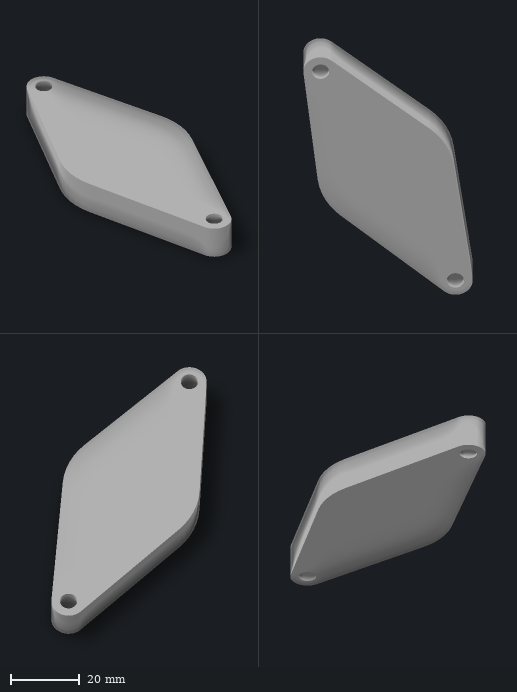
import cadquery as cq
import math

length = 92.9
thickness = 10.0
middle_radius = 20.0
end_radius = 5.0
hole_diameter = 5.0
left_reach = 40.0

right_reach = length - 2 * end_radius - left_reach


def on_circle(center_x, radius, angle):
    """Point on a circle centred on the X axis."""
    return (center_x + radius * math.cos(angle), radius * math.sin(angle))


def mirrored(point):
    """The same point on the other side of the X axis."""
    return (point[0], -point[1])


right_angle = math.acos((middle_radius - end_radius) / right_reach)
left_angle = math.pi - math.acos((middle_radius - end_radius) / left_reach)

left_end = on_circle(-left_reach, end_radius, left_angle)
left_middle = on_circle(0, middle_radius, left_angle)
right_middle = on_circle(0, middle_radius, right_angle)
right_end = on_circle(right_reach, end_radius, right_angle)

plate = (
    cq.Workplane("XY")
    .moveTo(*left_end)
    .lineTo(*left_middle)
    .threePointArc((0, middle_radius), right_middle)
    .lineTo(*right_end)
    .threePointArc((right_reach + end_radius, 0), mirrored(right_end))
    .lineTo(*mirrored(right_middle))
    .threePointArc((0, -middle_radius), mirrored(left_middle))
    .lineTo(*mirrored(left_end))
    .threePointArc((-left_reach - end_radius, 0), left_end)
    .close()
    .extrude(thickness)
)

holes = (
    cq.Workplane("XY")
    .pushPoints([(-left_reach, 0), (right_reach, 0)])
    .circle(hole_diameter / 2)
    .extrude(thickness)
)

result = plate.cut(holes)